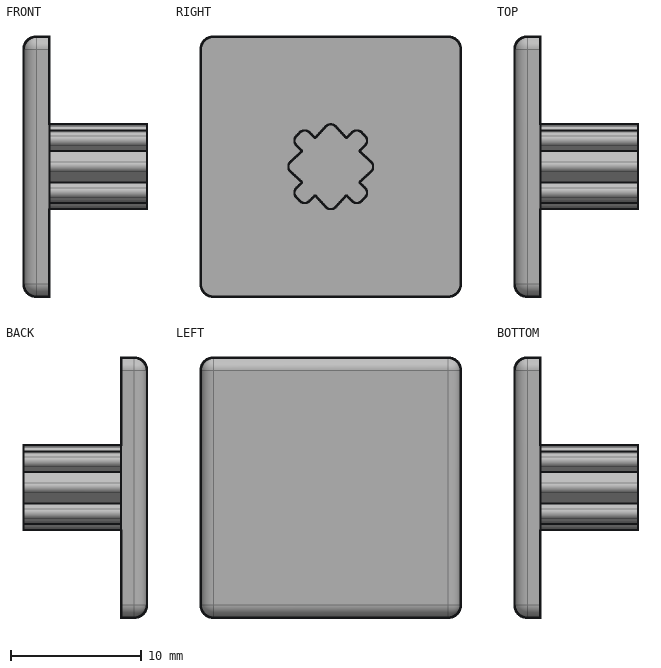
import cadquery as cq
import math

plate_side = 20.0
plate_thickness = 2.0
plate_round = 1.0

post_length = 7.5
middle_ridge_height = 3.5
side_ridge_offset = 2.0
side_ridge_height = 3.0
valley_offset = 1.2
valley_height = side_ridge_height - (side_ridge_offset - valley_offset)
ridge_tip_radius = 0.5
side_count = 4


def make_plate():
    """Plate with its front face at X = 0, rounded at the front and at the four corners."""
    plate = cq.Workplane("YZ").rect(plate_side, plate_side).extrude(plate_thickness)
    return plate.edges("|X or <X").fillet(plate_round)


def turned(point, angle):
    """Turn a point of the post outline about the post axis."""
    y, z = point
    return (
        y * math.cos(angle) - z * math.sin(angle),
        y * math.sin(angle) + z * math.cos(angle),
    )


def make_post():
    """Post with rounded ridge tips and sharp valleys."""
    one_side = [
        (side_ridge_offset, side_ridge_height),
        (valley_offset, valley_height),
        (0, middle_ridge_height),
        (-valley_offset, valley_height),
        (-side_ridge_offset, side_ridge_height),
    ]
    outline = []
    for side in range(side_count):
        angle = side * 2 * math.pi / side_count
        outline += [turned(point, angle) for point in one_side]

    post = (
        cq.Workplane("YZ", origin=(plate_thickness, 0, 0))
        .polyline(outline)
        .close()
        .extrude(post_length)
    )
    tip_limit = (math.hypot(valley_offset, valley_height) + middle_ridge_height) / 2
    tips = post.edges("|X").filter(
        lambda edge: math.hypot(edge.Center().y, edge.Center().z) > tip_limit
    )
    return tips.fillet(ridge_tip_radius)


result = make_plate().union(make_post())